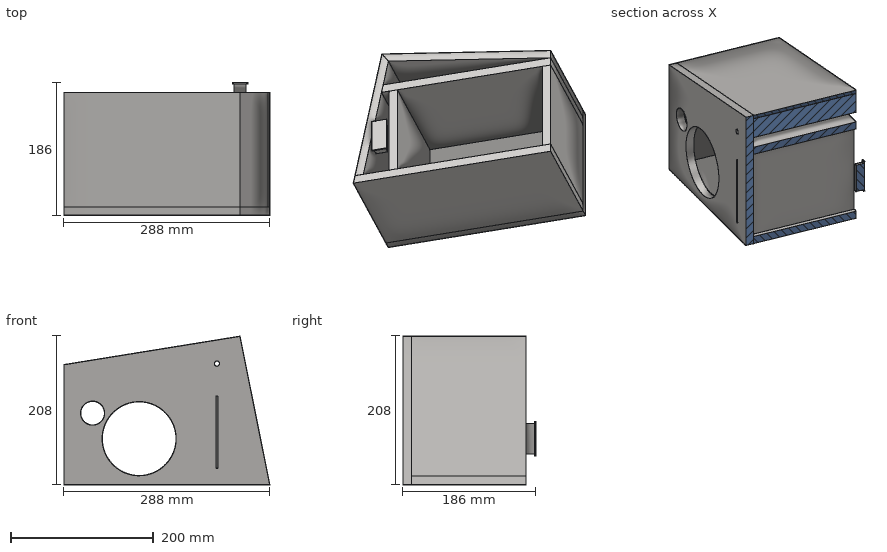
import cadquery as cq
import math

width = 288.0
height = 208.0
overall_depth = 186.0
cabinet_depth = 172.2
left_height = 168.2
ridge_x = 246.2
board = 12.0

speaker_diameter, speaker_x, speaker_z = 103.0, 105.0, 64.5
port_diameter, port_x, port_z = 33.0, 40.0, 100.2
pilot_diameter, pilot_x, pilot_z = 7.0, 214.0, 169.5
slot_width, slot_x = 2.8, 214.0
slot_bottom, slot_top = 23.0, 124.5
slot_depth = board / 2

divider_x = 223.5

stem_width, stem_height = 17.0, 43.2
knob_x, knob_z = 246.2, 64.5
flange_overhang = 2.3
flange_thickness = 2.0

roof_slope = (height - left_height) / ridge_x
wall_lean = (width - ridge_x) / height
roof_drop = board * math.hypot(1, roof_slope)
wall_inset = board * math.hypot(1, wall_lean)
inner_left_height = left_height - roof_drop
inner_ridge_x = (width - wall_inset - wall_lean * inner_left_height) / (1 + roof_slope * wall_lean)
inner_ridge_z = inner_left_height + roof_slope * inner_ridge_x
shelf_bottom = inner_left_height - board


def outer_wall_x(z):
    """X of the right wall's outer face at height z."""
    return width - wall_lean * z


def inner_wall_x(z):
    """X of the right wall's inner face at height z."""
    return outer_wall_x(z) - wall_inset


def board_between(points, y_start, y_end):
    """Board with an X-Z outline, running from y_start back to y_end."""
    plane = cq.Workplane("XZ", origin=(0, y_start, 0))
    return plane.polyline(points).close().extrude(y_start - y_end)


def cabinet_board(points):
    """Board running from behind the front panel to the rear edge."""
    return board_between(points, board, cabinet_depth)


def round_cutter(diameter, x, z):
    """Cylinder passing through the front panel."""
    return cq.Workplane("XZ").center(x, z).circle(diameter / 2).extrude(-board)


def make_front_panel():
    outline = [(0, 0), (width, 0), (ridge_x, height), (0, left_height)]
    panel = board_between(outline, 0, board)
    panel = panel.cut(round_cutter(speaker_diameter, speaker_x, speaker_z))
    panel = panel.cut(round_cutter(port_diameter, port_x, port_z))
    panel = panel.cut(round_cutter(pilot_diameter, pilot_x, pilot_z))
    slot = (
        cq.Workplane("XZ")
        .center(slot_x, (slot_bottom + slot_top) / 2)
        .slot2D(slot_top - slot_bottom, slot_width, 90)
        .extrude(-slot_depth)
    )
    return panel.cut(slot)


def make_floor():
    return cabinet_board([(0, 0), (width, 0), (outer_wall_x(board), board), (0, board)])


def make_left_wall():
    return cabinet_board([(0, board), (board, board), (board, shelf_bottom), (0, shelf_bottom)])


def make_divider():
    divider_end = divider_x + board
    return cabinet_board([
        (divider_x, board),
        (divider_end, board),
        (divider_end, shelf_bottom),
        (divider_x, shelf_bottom),
    ])


def make_shelf():
    return cabinet_board([
        (0, shelf_bottom),
        (inner_wall_x(shelf_bottom), shelf_bottom),
        (inner_wall_x(inner_left_height), inner_left_height),
        (0, inner_left_height),
    ])


def make_roof():
    return cabinet_board([
        (0, inner_left_height),
        (inner_ridge_x, inner_ridge_z),
        (ridge_x, height),
        (0, left_height),
    ])


def make_right_wall():
    return cabinet_board([
        (inner_wall_x(board), board),
        (outer_wall_x(board), board),
        (ridge_x, height),
        (inner_ridge_x, inner_ridge_z),
    ])


def make_knob():
    def block(x_size, z_size, y_start, y_end):
        plane = cq.Workplane("XZ", origin=(knob_x, y_start, knob_z))
        return plane.rect(x_size, z_size).extrude(y_start - y_end)

    flange_start = overall_depth - flange_thickness
    stem = block(stem_width, stem_height, cabinet_depth, flange_start)
    flange_width = stem_width + 2 * flange_overhang
    flange_height = stem_height + 2 * flange_overhang
    return stem.union(block(flange_width, flange_height, flange_start, overall_depth))


front_panel = make_front_panel()
floor = make_floor()
left_wall = make_left_wall()
divider = make_divider()
shelf = make_shelf()
roof = make_roof()
right_wall = make_right_wall()
knob = make_knob()

result = cq.Compound.makeCompound([
    front_panel.val(),
    floor.val(),
    left_wall.val(),
    divider.val(),
    shelf.val(),
    roof.val(),
    right_wall.val(),
    knob.val(),
])